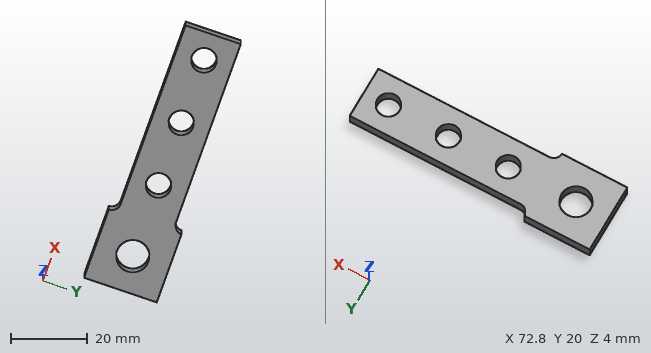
import cadquery as cq

length = 72.8
head_width = 20.0
thickness = 4.0

head_length = 19.45
arm_width = 15.2
shoulder_radius = 2.5

head_hole_diameter = 8.65
head_hole_x = 9.7
arm_hole_diameter = 6.6
arm_hole_count = 3
arm_hole_pitch = 17.8
last_arm_hole_to_end = 7.3


def plate_outline():
    """Outline with the head end at X = 0, symmetric about the X axis."""
    head_y = head_width / 2
    arm_y = arm_width / 2
    center_y = arm_y + shoulder_radius
    rise = center_y - head_y
    run = (shoulder_radius**2 - rise**2) ** 0.5
    tangent_x = head_length + run
    return (
        cq.Workplane("XY")
        .moveTo(0, -head_y)
        .lineTo(head_length, -head_y)
        .radiusArc((tangent_x, -arm_y), shoulder_radius)
        .lineTo(length, -arm_y)
        .lineTo(length, arm_y)
        .lineTo(tangent_x, arm_y)
        .radiusArc((head_length, head_y), shoulder_radius)
        .lineTo(0, head_y)
        .close()
    )


def through_holes(points, diameter):
    return cq.Workplane("XY").pushPoints(points).circle(diameter / 2).extrude(thickness)


arm_hole_points = [
    (length - last_arm_hole_to_end - i * arm_hole_pitch, 0) for i in range(arm_hole_count)
]

result = (
    plate_outline()
    .extrude(thickness)
    .cut(through_holes([(head_hole_x, 0)], head_hole_diameter))
    .cut(through_holes(arm_hole_points, arm_hole_diameter))
)